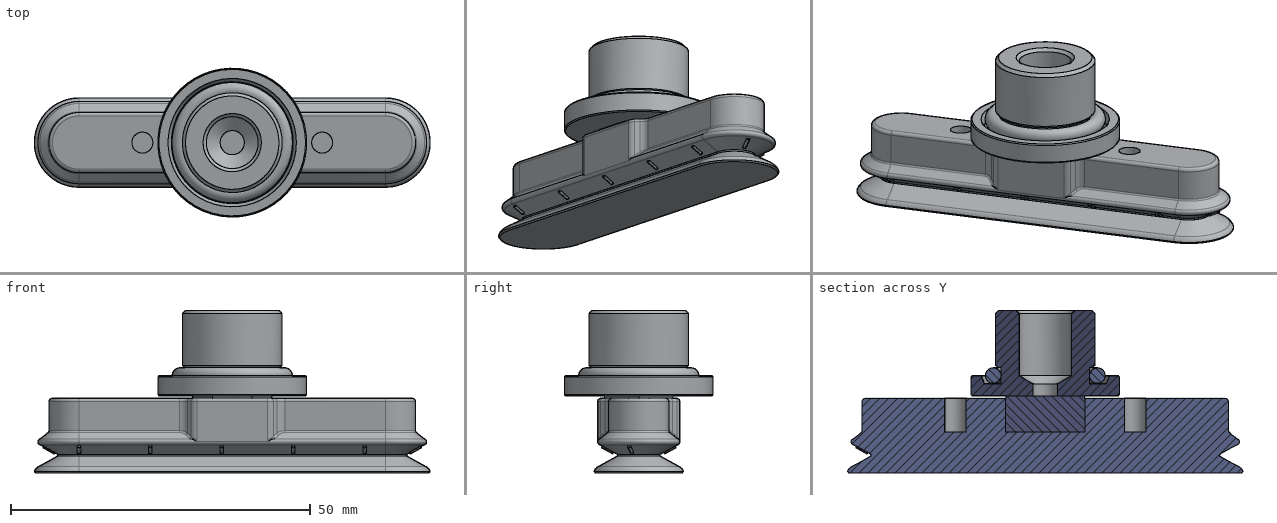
import cadquery as cq
import math

TOLERANCE = 0.005

CUP_LENGTH = 66.0
ARC_CENTRE_X = 25.55
LIP_R = CUP_LENGTH / 2 - ARC_CENTRE_X
LIP_TOP_R = 6.8
LIP_TOP_Z = 1.05
LIP_EDGE_Z = 0.25
LIP_BOTTOM_R = 7.25
VALLEY_R = 3.55
VALLEY_LOW_Z = 2.85
VALLEY_HIGH_Z = 3.1
FOLD_R = 6.85
FOLD_Z = 5.15
FOLD_UNDER_R = 6.5
FOLD_UNDER_Z = 4.7
FOLD_OVER_R = 6.55
FOLD_OVER_Z = 5.7
WALL_R = 5.0
WALL_BASE_Z = 6.85
CUP_TOP_Z = 12.5
TOP_EDGE_ROUND = 0.6
WALL_BASE_ROUND = 0.4

BLOCK_FACE_HALF_X = 6.5
BLOCK_BASE_HALF_X = 8.0
BLOCK_OUTER_ROUND = 1.25
BLOCK_INNER_ROUND = 1.7

TOP_HOLE_D = 3.5
TOP_HOLE_X = 15.0

RIB_COUNT = 12
RIB_PATH_R = 6.5
RIB_D = 0.6
RIB_INNER_R = 4.2
RIB_OUTER_R = 6.1

HEX_ACROSS_FLATS = 11.4
INSERT_BOTTOM_Z = WALL_BASE_Z

FLANGE_BOTTOM_Z = 12.9
FLANGE_TOP_Z = 16.25
FLANGE_R = 24.8 / 2
FLANGE_CHAMFER = 0.2
GROOVE_RIM_R = 21.4 / 2
GROOVE_FLOOR_R = 10.15
NECK_R = 14.8 / 2
BOSS_R = 16.6 / 2
BOSS_BOTTOM_Z = 17.55
BOSS_TOP_Z = 27.1
BOSS_TOP_CHAMFER = 0.5
BOSS_BOTTOM_CHAMFER = 0.4
BORE_R = 8.65 / 2
BORE_CHAMFER = 0.5
BORE_END_Z = FLANGE_TOP_Z
THROAT_R = 4.0 / 2
DRILL_POINT_ANGLE = 118

ORING_SECTION_R = 1.3
ORING_CENTRE_R = NECK_R + ORING_SECTION_R
GROOVE_FLOOR_Z = FLANGE_TOP_Z - ORING_SECTION_R


def bellows_profile(plane):
    """Half section of the lip and fold, with the first axis measured from the core."""
    return (
        cq.Workplane(plane)
        .lineTo(0, WALL_BASE_Z)
        .lineTo(WALL_R, WALL_BASE_Z)
        .lineTo(FOLD_OVER_R, FOLD_OVER_Z)
        .threePointArc((FOLD_R, FOLD_Z), (FOLD_UNDER_R, FOLD_UNDER_Z))
        .lineTo(VALLEY_R, VALLEY_HIGH_Z)
        .lineTo(VALLEY_R, VALLEY_LOW_Z)
        .lineTo(LIP_TOP_R, LIP_TOP_Z)
        .tangentArcPoint((LIP_R, LIP_EDGE_Z), relative=False)
        .lineTo(LIP_BOTTOM_R, 0)
        .close()
    )


def make_bellows():
    """Lip and fold: a straight stretch with a turned body at each end."""
    end = bellows_profile("XZ").revolve(360, (0, 0, 0), (0, 1, 0))
    half = bellows_profile("YZ").extrude(ARC_CENTRE_X, both=True)
    bellows = half.union(half.mirror("XZ"))
    for side in (-1, 1):
        bellows = bellows.union(end.translate((side * ARC_CENTRE_X, 0, 0)))
    return bellows


def round_corners(body, half_x, half_y, radius):
    """Round the four upright edges at (+-half_x, +-half_y)."""
    corners = []
    for edge in body.edges("|Z").vals():
        centre = edge.Center()
        offset = math.hypot(abs(centre.x) - half_x, abs(centre.y) - half_y)
        if offset < TOLERANCE:
            corners.append(edge)
    return body.newObject(corners).fillet(radius)


def make_upper_wall():
    """Racetrack wall with the label block blended across its middle."""
    wall_length = 2 * (ARC_CENTRE_X + WALL_R)
    wall = (
        cq.Workplane("XY", origin=(0, 0, FOLD_Z))
        .slot2D(wall_length, 2 * WALL_R)
        .extrude(CUP_TOP_Z - FOLD_Z)
    )
    block = (
        cq.Workplane("XY", origin=(0, 0, FOLD_Z))
        .polyline([
            (-BLOCK_FACE_HALF_X, -FOLD_R), (BLOCK_FACE_HALF_X, -FOLD_R),
            (BLOCK_BASE_HALF_X, -WALL_R), (BLOCK_BASE_HALF_X, WALL_R),
            (BLOCK_FACE_HALF_X, FOLD_R), (-BLOCK_FACE_HALF_X, FOLD_R),
            (-BLOCK_BASE_HALF_X, WALL_R), (-BLOCK_BASE_HALF_X, -WALL_R),
        ])
        .close()
        .extrude(CUP_TOP_Z - FOLD_Z)
    )
    upper = wall.union(block)
    upper = round_corners(upper, BLOCK_BASE_HALF_X, WALL_R, BLOCK_INNER_ROUND)
    return round_corners(upper, BLOCK_FACE_HALF_X, FOLD_R, BLOCK_OUTER_ROUND)


def path_point(distance):
    """Arc centre x and outward angle (degrees) at a distance along the rib path."""
    straight = 2 * ARC_CENTRE_X
    arc = math.pi * RIB_PATH_R
    half_turn = straight + arc
    lap, along = divmod(distance, half_turn)
    side = 1 if lap == 0 else -1
    if along < straight:
        return side * (along - ARC_CENTRE_X), -90 * side
    angle = math.degrees((along - straight) / RIB_PATH_R)
    return side * ARC_CENTRE_X, angle - 90 * side


def add_ribs(cup):
    slope = (FOLD_UNDER_Z - VALLEY_HIGH_Z) / (FOLD_UNDER_R - VALLEY_R)
    direction = cq.Vector(1, 0, slope)
    start = cq.Vector(RIB_INNER_R, 0, VALLEY_HIGH_Z + slope * (RIB_INNER_R - VALLEY_R))
    length = (RIB_OUTER_R - RIB_INNER_R) * direction.Length
    rib = cq.Workplane(cq.Solid.makeCylinder(RIB_D / 2, length, start, direction))
    pitch = 2 * (2 * ARC_CENTRE_X + math.pi * RIB_PATH_R) / RIB_COUNT
    for index in range(RIB_COUNT):
        x, angle = path_point(index * pitch)
        cup = cup.union(rib.rotate((0, 0, 0), (0, 0, 1), angle).translate((x, 0, 0)))
    return cup


def hexagon(bottom_z, top_z):
    corner_d = HEX_ACROSS_FLATS / math.cos(math.pi / 6)
    return cq.Workplane("XY", origin=(0, 0, bottom_z)).polygon(6, corner_d).extrude(top_z - bottom_z)


def round_wall_base(cup):
    """Concave round where the upper wall and label block rise from the fold."""
    base_edges = []
    for edge in cup.edges().vals():
        box = edge.BoundingBox()
        above_fold = box.zmin > FOLD_OVER_Z + TOLERANCE
        below_wall = box.zmax < WALL_BASE_Z + TOLERANCE
        if above_fold and below_wall and box.xlen > TOLERANCE:
            base_edges.append(edge)
    rounded = cup.newObject(base_edges).fillet(WALL_BASE_ROUND)
    return cq.Workplane(rounded.val().fix()).solids()


def make_cup():
    upper = make_upper_wall().faces(">Z").edges().fillet(TOP_EDGE_ROUND)
    cup = round_wall_base(make_bellows().union(upper))
    cup = add_ribs(cup)
    holes = (
        cq.Workplane("XY", origin=(0, 0, WALL_BASE_Z))
        .pushPoints([(-TOP_HOLE_X, 0), (TOP_HOLE_X, 0)])
        .circle(TOP_HOLE_D / 2)
        .extrude(CUP_TOP_Z - WALL_BASE_Z)
    )
    return cup.cut(holes).cut(hexagon(INSERT_BOTTOM_Z, CUP_TOP_Z)).solids()


def make_insert():
    return hexagon(INSERT_BOTTOM_Z, FLANGE_BOTTOM_Z)


def make_fitting():
    cone_height = (BORE_R - THROAT_R) / math.tan(math.radians(DRILL_POINT_ANGLE / 2))
    return (
        cq.Workplane("XZ")
        .polyline([
            (THROAT_R, FLANGE_BOTTOM_Z),
            (FLANGE_R - FLANGE_CHAMFER, FLANGE_BOTTOM_Z),
            (FLANGE_R, FLANGE_BOTTOM_Z + FLANGE_CHAMFER),
            (FLANGE_R, FLANGE_TOP_Z - FLANGE_CHAMFER),
            (FLANGE_R - FLANGE_CHAMFER, FLANGE_TOP_Z),
            (GROOVE_RIM_R, FLANGE_TOP_Z),
            (GROOVE_FLOOR_R, GROOVE_FLOOR_Z),
            (NECK_R, GROOVE_FLOOR_Z),
            (NECK_R, BOSS_BOTTOM_Z),
            (BOSS_R - BOSS_BOTTOM_CHAMFER, BOSS_BOTTOM_Z),
            (BOSS_R, BOSS_BOTTOM_Z + BOSS_BOTTOM_CHAMFER),
            (BOSS_R, BOSS_TOP_Z - BOSS_TOP_CHAMFER),
            (BOSS_R - BOSS_TOP_CHAMFER, BOSS_TOP_Z),
            (BORE_R + BORE_CHAMFER, BOSS_TOP_Z),
            (BORE_R, BOSS_TOP_Z - BORE_CHAMFER),
            (BORE_R, BORE_END_Z),
            (THROAT_R, BORE_END_Z - cone_height),
        ])
        .close()
        .revolve(360, (0, 0, 0), (0, 1, 0))
    )


def make_oring():
    ring = cq.Solid.makeTorus(ORING_CENTRE_R, ORING_SECTION_R, cq.Vector(0, 0, FLANGE_TOP_Z))
    return cq.Workplane(ring)


cup = make_cup()
insert = make_insert()
fitting = make_fitting()
oring = make_oring()
result = cq.Compound.makeCompound([cup.val(), insert.val(), fitting.val(), oring.val()])